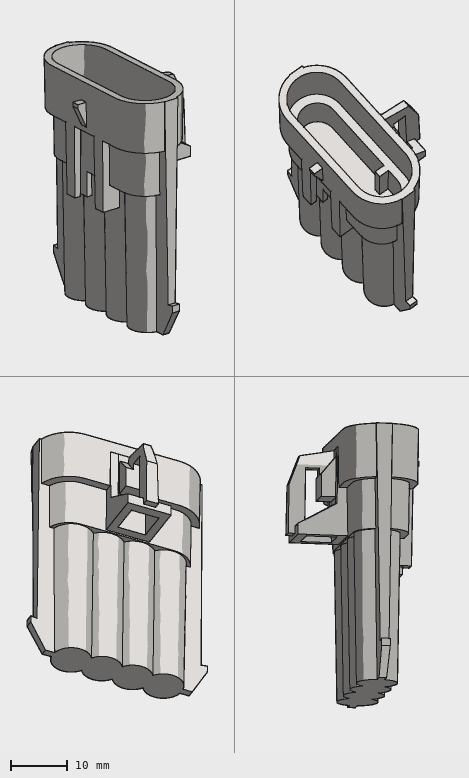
import cadquery as cq
import math

HEIGHT = 45.5
COLLAR_BOTTOM = 35.9
BODY_BOTTOM = 26.95
DRAFT = 1.0

ARC_CENTRE_X = 9.15
COLLAR_RADIUS = 6.75
BODY_RADIUS = 5.1
SOCKET_RADIUS = 5.32
SOCKET_DEPTH = 8.0
POCKET_RADIUS = 3.55
POCKET_ARC_CENTRE_X = 8.95
POCKET_DEPTH = 6.82

KEY_X = 5.95
KEY_WIDTH = 1.27
KEY_LENGTH = 2.0

TUBE_COUNT = 4
TUBE_PITCH = 6.0
TUBE_TOP_RADIUS = 4.1
TUBE_BOTTOM_RADIUS = 3.65
TUBE_Y = 0.65

WEB_TOP_THICKNESS = 2.9
WEB_TIP_THICKNESS = 1.35
WEB_TOP_HALF_WIDTH = 15.92
WEB_LOW_HALF_WIDTH = 16.05
BARB_HALF_WIDTH = 17.3
BARB_ROOT_TOP = 6.35
BARB_TOP = 6.55
BARB_EDGE_BOTTOM = 5.25
BARB_TIP_HALF_WIDTH = 14.4

WEDGE_WIDTH = 1.45
WEDGE_TOP = 41.75
WEDGE_EDGE_BOTTOM = 41.0
WEDGE_BOTTOM = 36.95
FRONT_Y = -8.5

LEG_BOTTOM = 22.05
LEG_TOP_INNER_X = 2.8
LEG_TOP_OUTER_X = 5.35
LEG_SIDE_SLOPE = 0.15
LEG_STEP_INNER_X = 2.05

SLOT_FLOOR_Y = -4.35
SLOT_FLANGE_BACK_Y = -BODY_RADIUS
SLOT_HALF_WIDTH = 3.85

BACK_Y = 15.05
FRAME_WIDTH = 8.45
FRAME_BACK_Y = 13.9
FRAME_BOTTOM = 27.25
FRAME_LIP_TOP = 29.2
FRAME_SLOPE_TOP = 33.12
PAD_LOW_Y = 6.85
PAD_TOP = 43.22
WINDOW_WIDTH = 5.35
WINDOW_BACK_Y = 12.1

ARM_BOTTOM = 27.95
ARM_CREST_BASE = 40.35
ARM_TOP = 43.35
ARM_PEAK_Y = 12.88
ARM_PEAK_Z = 42.05
ARM_SHOULDER_Y = 14.9
ARM_SHOULDER_Z = 36.8
ARM_INNER_TOP_Y = 11.88
ARM_UNDERSIDE = 39.85
ARM_BOTTOM_HALF_WIDTH = 1.2
ARM_CREST_HALF_WIDTH = 0.95
ARM_TOP_HALF_WIDTH = 0.55

BLOCK_BOTTOM = 34.55
BLOCK_SIDE_TOP = 37.4
BLOCK_BACK_Y = 9.37
BLOCK_BACK_TOP = 38.6
BLOCK_TOP = 41.75
BLOCK_HALF_WIDTH = 2.45
BLOCK_TOP_HALF_WIDTH = 2.4

EMBED_Y = 5.7


def stadium(arc_centre_x, radius, top, depth):
    """Drafted stadium prism hanging down from the level `top`."""
    profile = cq.Workplane("XY").workplane(offset=top)
    profile = profile.slot2D(2 * (arc_centre_x + radius), 2 * radius)
    return profile.extrude(-depth, taper=DRAFT)


def side_prism(points, width):
    """Prism centred on X = 0 with a (Y, Z) outline."""
    return cq.Workplane("YZ").polyline(points).close().extrude(width / 2, both=True)


def front_prism(points, y_low, y_high):
    """Prism between two Y positions with an (X, Z) outline."""
    plane = cq.Workplane("XZ", origin=(0, y_low, 0))
    return plane.polyline(points).close().extrude(y_low - y_high)


def mirrored_outline(half_points):
    """Closed outline symmetric about X = 0, from its +X half listed in order."""
    return half_points + [(-x, z) for x, z in reversed(half_points)]


def draft_inset(depth):
    """Distance a drafted wall moves inward over a depth."""
    return depth * math.tan(math.radians(DRAFT))


def make_tubes():
    tubes = cq.Workplane("XY")
    first_x = -TUBE_PITCH * (TUBE_COUNT - 1) / 2
    for index in range(TUBE_COUNT):
        tube = (
            cq.Workplane("XY", origin=(first_x + index * TUBE_PITCH, TUBE_Y, 0))
            .circle(TUBE_BOTTOM_RADIUS)
            .workplane(offset=BODY_BOTTOM)
            .circle(TUBE_TOP_RADIUS)
            .loft()
        )
        tubes = tubes.union(tube)
    return tubes


def make_web():
    """Thin barbed web, thickening upwards."""
    half_front = [
        (BARB_TIP_HALF_WIDTH, 0),
        (BARB_HALF_WIDTH, BARB_EDGE_BOTTOM),
        (BARB_HALF_WIDTH, BARB_TOP),
        (WEB_LOW_HALF_WIDTH, BARB_ROOT_TOP),
        (WEB_TOP_HALF_WIDTH, HEIGHT),
    ]
    half_side = [
        (WEB_TIP_THICKNESS / 2, 0),
        (WEB_TOP_THICKNESS / 2, HEIGHT),
    ]
    front = front_prism(
        mirrored_outline(half_front), TUBE_Y - WEB_TOP_THICKNESS, TUBE_Y + WEB_TOP_THICKNESS
    )
    side = side_prism(mirrored_outline(half_side), 2 * BARB_HALF_WIDTH)
    return front.intersect(side.translate((0, TUBE_Y, 0)))


def make_wedge():
    root_y = -EMBED_Y
    wall_y = -COLLAR_RADIUS + draft_inset(HEIGHT - WEDGE_BOTTOM)
    outline = [
        (root_y, WEDGE_TOP),
        (FRONT_Y, WEDGE_TOP),
        (FRONT_Y, WEDGE_EDGE_BOTTOM),
        (wall_y, WEDGE_BOTTOM),
        (root_y, WEDGE_BOTTOM),
    ]
    return side_prism(outline, WEDGE_WIDTH)


def make_legs():
    """Two legs continuing the collar front face down over the inner tubes."""
    face_top_y = -COLLAR_RADIUS + draft_inset(HEIGHT - COLLAR_BOTTOM)
    face_bottom_y = -COLLAR_RADIUS + draft_inset(HEIGHT - LEG_BOTTOM)
    side_outline = [
        (TUBE_Y, LEG_BOTTOM),
        (face_bottom_y, LEG_BOTTOM),
        (face_top_y, COLLAR_BOTTOM),
        (TUBE_Y, COLLAR_BOTTOM),
    ]
    front_outline = [
        (LEG_TOP_INNER_X, COLLAR_BOTTOM),
        (LEG_TOP_OUTER_X, COLLAR_BOTTOM),
        (LEG_TOP_OUTER_X - LEG_SIDE_SLOPE, LEG_BOTTOM),
        (LEG_TOP_INNER_X + LEG_SIDE_SLOPE, LEG_BOTTOM),
    ]
    leg = front_prism(front_outline, -COLLAR_RADIUS, TUBE_Y)
    leg = leg.intersect(side_prism(side_outline, 2 * COLLAR_RADIUS))

    step = cq.Workplane("XY").box(
        LEG_TOP_OUTER_X - LEG_SIDE_SLOPE - LEG_STEP_INNER_X,
        TUBE_Y - SLOT_FLOOR_Y,
        BODY_BOTTOM - LEG_BOTTOM,
        centered=False,
    )
    leg = leg.union(step.translate((LEG_STEP_INNER_X, SLOT_FLOOR_Y, LEG_BOTTOM)))
    return leg.union(leg.mirror("YZ"))


def make_slot_undercut():
    undercut = cq.Workplane("XY").box(
        2 * SLOT_HALF_WIDTH,
        SLOT_FLOOR_Y - SLOT_FLANGE_BACK_Y,
        COLLAR_BOTTOM - LEG_BOTTOM,
        centered=(True, False, False),
    )
    return undercut.translate((0, SLOT_FLANGE_BACK_Y, LEG_BOTTOM))


def make_latch_frame():
    outline = [
        (0, FRAME_BOTTOM),
        (FRAME_BACK_Y, FRAME_BOTTOM),
        (FRAME_BACK_Y, FRAME_LIP_TOP),
        (PAD_LOW_Y, FRAME_SLOPE_TOP),
        (COLLAR_RADIUS, PAD_TOP),
        (EMBED_Y, PAD_TOP),
        (EMBED_Y, COLLAR_BOTTOM),
        (0, COLLAR_BOTTOM),
    ]
    window_front_y = COLLAR_RADIUS - draft_inset(HEIGHT - COLLAR_BOTTOM)
    window_outline = [
        (window_front_y, FRAME_BOTTOM),
        (WINDOW_BACK_Y, FRAME_BOTTOM),
        (WINDOW_BACK_Y, PAD_TOP),
        (COLLAR_RADIUS, PAD_TOP),
    ]
    frame = side_prism(outline, FRAME_WIDTH)
    return frame.cut(side_prism(window_outline, WINDOW_WIDTH))


def make_latch_arm():
    """Hooked arm reaching back from the collar and down to the frame."""
    side_outline = [
        (EMBED_Y, ARM_TOP),
        (ARM_PEAK_Y, ARM_PEAK_Z),
        (ARM_SHOULDER_Y, ARM_SHOULDER_Z),
        (BACK_Y, ARM_BOTTOM),
        (WINDOW_BACK_Y, ARM_BOTTOM),
        (ARM_INNER_TOP_Y, ARM_UNDERSIDE),
        (BLOCK_BACK_Y, ARM_UNDERSIDE),
        (BLOCK_BACK_Y, BLOCK_BACK_TOP),
        (EMBED_Y, BLOCK_BACK_TOP),
    ]
    half_front = [
        (ARM_BOTTOM_HALF_WIDTH, ARM_BOTTOM),
        (ARM_CREST_HALF_WIDTH, ARM_CREST_BASE),
        (ARM_TOP_HALF_WIDTH, ARM_TOP),
    ]
    arm = side_prism(side_outline, FRAME_WIDTH)
    return arm.intersect(front_prism(mirrored_outline(half_front), 0, BACK_Y))


def make_latch_block():
    side_outline = [
        (EMBED_Y, BLOCK_BOTTOM),
        (BLOCK_BACK_Y, BLOCK_BOTTOM),
        (BLOCK_BACK_Y, BLOCK_BACK_TOP),
        (COLLAR_RADIUS, BLOCK_TOP),
        (EMBED_Y, BLOCK_TOP),
    ]
    half_front = [
        (BLOCK_HALF_WIDTH, BLOCK_BOTTOM),
        (BLOCK_HALF_WIDTH, BLOCK_SIDE_TOP),
        (BLOCK_TOP_HALF_WIDTH, BLOCK_TOP),
    ]
    block = side_prism(side_outline, FRAME_WIDTH)
    return block.intersect(front_prism(mirrored_outline(half_front), 0, BACK_Y))


def make_cavity():
    """Mating socket with a smaller keyed pocket in its floor."""
    floor = HEIGHT - SOCKET_DEPTH
    socket = stadium(ARC_CENTRE_X, SOCKET_RADIUS, HEIGHT, SOCKET_DEPTH)
    pocket = stadium(POCKET_ARC_CENTRE_X, POCKET_RADIUS, floor, POCKET_DEPTH)
    key = cq.Workplane("XY").box(
        KEY_WIDTH, 2 * KEY_LENGTH, POCKET_DEPTH, centered=(True, True, False)
    )
    key = key.translate((KEY_X, POCKET_RADIUS, floor - POCKET_DEPTH))
    return socket.union(pocket.cut(key))


collar = stadium(ARC_CENTRE_X, COLLAR_RADIUS, HEIGHT, HEIGHT - COLLAR_BOTTOM)
body = stadium(ARC_CENTRE_X, BODY_RADIUS, COLLAR_BOTTOM, COLLAR_BOTTOM - BODY_BOTTOM)

result = (
    collar.union(body)
    .union(make_tubes())
    .union(make_web())
    .union(make_wedge())
    .union(make_legs())
    .cut(make_slot_undercut())
    .union(make_latch_frame())
    .union(make_latch_block())
    .union(make_latch_arm())
    .cut(make_cavity())
)